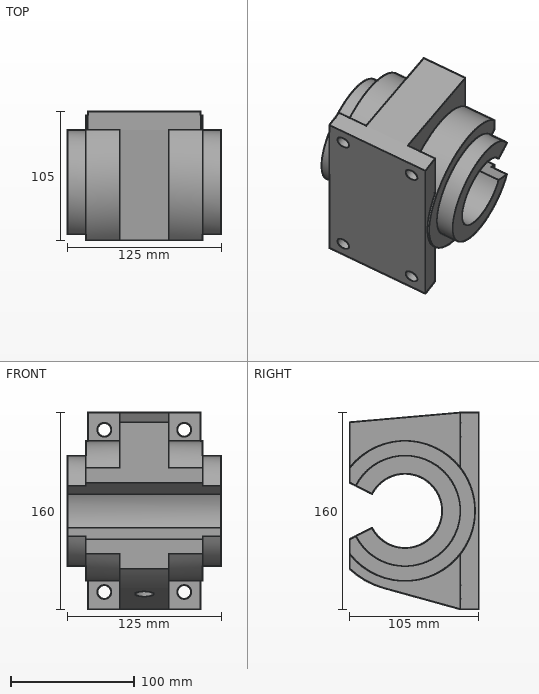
import cadquery as cq
import math

height = 160.0
bore_radius = 30.0
collar_radius = 45.0
flange_radius = 57.0
collar_length = 125.0
flange_length = 95.0

plate_width = 91.5
plate_thickness = 15.0
plate_front_y = collar_radius
plate_back_y = plate_front_y + plate_thickness
front_y = -45.0

rib_width = 39.7
rib_top_slope = 5.0
rib_nose_radius = 65.1

slot_half_angle = 27.0
bolt_diameter = 11.0
bolt_spacing_x = 65.0
bolt_spacing_z = 131.8
oil_hole_diameter = 15.0


def cylinder_along_x(radius, length):
    return cq.Workplane("YZ").circle(radius).extrude(length / 2, both=True)


def on_nose(angle):
    """Point (y, z) on the rib nose circle at an angle in radians."""
    return rib_nose_radius * math.cos(angle), rib_nose_radius * math.sin(angle)


def make_plate():
    return cq.Workplane("XY").box(plate_width, plate_thickness, height).translate(
        (0, plate_front_y + plate_thickness / 2, 0)
    )


def make_rib():
    """Central rib: sloping top, and an underside tangent to a round nose."""
    half_height = height / 2
    front_top_z = half_height - (plate_front_y - front_y) * math.tan(math.radians(rib_top_slope))

    corner_distance = math.hypot(plate_front_y, half_height)
    corner_angle = math.atan2(-half_height, plate_front_y)
    tangent_angle = corner_angle - math.acos(rib_nose_radius / corner_distance)
    nose_end_angle = -math.acos(front_y / rib_nose_radius)

    return (
        cq.Workplane("YZ")
        .moveTo(plate_front_y, half_height)
        .lineTo(front_y, front_top_z)
        .lineTo(*on_nose(nose_end_angle))
        .threePointArc(on_nose((nose_end_angle + tangent_angle) / 2), on_nose(tangent_angle))
        .lineTo(plate_front_y, -half_height)
        .close()
        .extrude(rib_width / 2, both=True)
    )


def make_flange():
    """Wide ring, cut flat at the front face of the rib."""
    depth = flange_radius - front_y
    keep = cq.Workplane("XY").box(flange_length, depth, 2 * flange_radius)
    keep = keep.translate((0, front_y + depth / 2, 0))
    return cylinder_along_x(flange_radius, flange_length).intersect(keep)


def make_slot():
    """Wedge opening to the front, with its tip on the bearing axis."""
    reach = 2 * collar_radius
    half_opening = reach * math.tan(math.radians(slot_half_angle))
    return (
        cq.Workplane("YZ")
        .polyline([(0, 0), (-reach, half_opening), (-reach, -half_opening)])
        .close()
        .extrude(collar_length / 2, both=True)
    )


def make_bolt_holes():
    return (
        cq.Workplane("XZ", origin=(0, plate_back_y, 0))
        .rarray(bolt_spacing_x, bolt_spacing_z, 2, 2)
        .circle(bolt_diameter / 2)
        .extrude(plate_thickness)
    )


def make_oil_hole():
    """Vertical blind hole from the underside of the rib, stopping at the collar radius."""
    depth = height / 2 - collar_radius
    return (
        cq.Workplane("XY", origin=(0, 0, -height / 2))
        .circle(oil_hole_diameter / 2)
        .extrude(depth)
    )


body = make_plate().union(make_rib()).union(make_flange())
body = body.union(cylinder_along_x(collar_radius, collar_length))
body = body.cut(cylinder_along_x(bore_radius, collar_length)).cut(make_slot())
result = body.cut(make_bolt_holes()).cut(make_oil_hole())